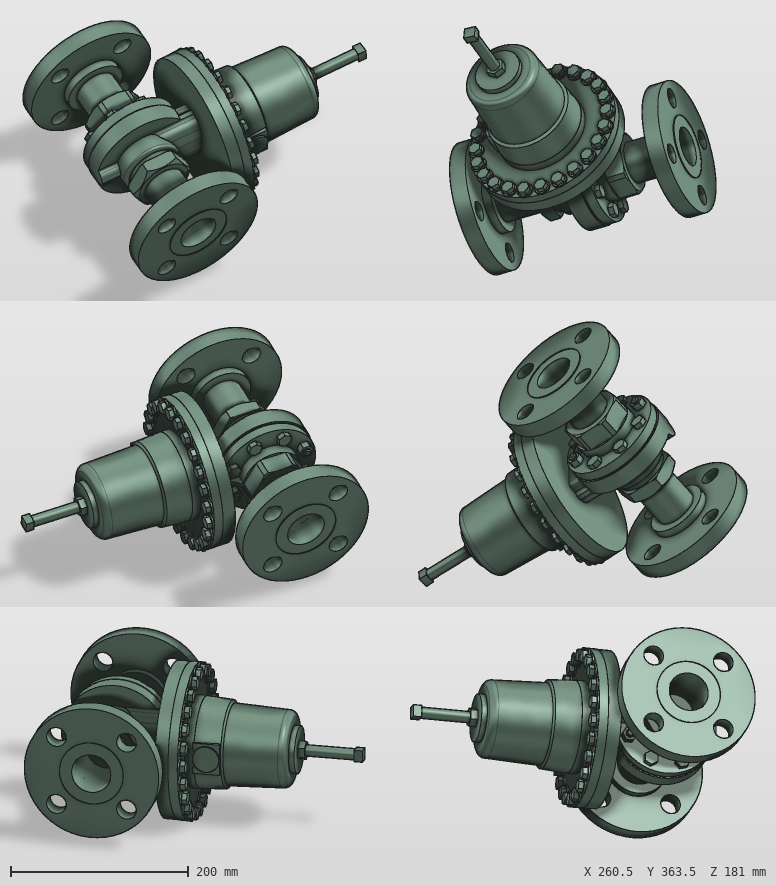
import cadquery as cq
import math


inlet_face = -137.0
outlet_face = 123.5
inlet_nut_start, inlet_nut_end = -68.5, -45.5
cover_start, cover_end = -32.7, -20.7
body_flange_start, body_flange_end = -19.5, 0.7
barrel_end = 22.0
outlet_nut_start, outlet_nut_end = 29.0, 46.0

flange_radius = 77.5
flange_thickness = 19.5
raised_face_radius, raised_face_height = 36.5, 1.0
collar_radius, collar_length = 35.0, 9.8
pipe_radius, bore_radius = 24.0, 22.5
flange_hole_radius, flange_hole_offset = 11.3, 40.3

barrel_radius, barrel_fillet = 35.5, 4.0
cover_radius = 58.5
body_flange_radius = 59.5
gasket_radius = 57.5
outlet_neck_radius = 30.0
nut_across_flats = 64.5
inlet_nut_corner_cut = 35.5
inlet_nut_chamfer = 2.0
outlet_nut_chamfer_length, outlet_nut_chamfer_depth = 4.7, 5.8
outlet_nut_back_length, outlet_nut_back_depth = 1.0, 2.0

neck_inlet_side, neck_outlet_side = -20.7, 18.0
neck_half_width, neck_step_half_width = 34.5, 31.0
lug_half_width, lug_tip = 12.0, 11.5
flare_end = 4.5

gusset_thickness, gusset_height = 5.5, 15.5

cover_bolt_count, cover_bolt_circle = 8, 47.2
cover_nut_places = (3, 7)
cover_hex_radius = 8.5
cover_head_height, cover_nut_height = 6.5, 8.7
stud_radius, stud_height, stud_chamfer = 4.7, 12.0, 1.5

case_bottom, case_top = 65.5, 91.5
case_split, case_lower_radius = 80.5, 89.5
case_upper_radius = 89.7
case_bolt_count, case_bolt_circle = 24, 81.5
washer_radius, washer_height = 9.0, 2.0
case_hex_radius, case_bolt_top = 7.5, 99.5
foot_radius, foot_top = 52.5, 101.7
skirt_base_radius, skirt_top_radius, skirt_top = 52.3, 50.5, 132.2
dome_base, dome_base_radius = 134.5, 47.0
shoulder_height, shoulder_radius = 196.5, 44.3
dome_top, crown_radius = 205.2, 37.5
cap_radius, cap_top = 27.2, 211.7
lock_nut_across_flats, lock_nut_top = 19.0, 219.7
rod_radius, rod_top = 6.5, 276.0
head_side, head_top, head_twist = 13.5, 286.0, 5.0
port_pad_width, port_pad_height, port_pad_face = 36.3, 31.2, 51.5
port_radius, port_center, port_face = 15.3, 116.0, 53.8

overlap = 1.8


def hex_diameter(across_flats):
    return across_flats / math.cos(math.pi / 6)


def hex_section(plane, across_corners, corner_angle):
    """Hexagon centred on the plane's origin with a corner at the given angle."""
    points = []
    for corner in range(6):
        angle = math.radians(corner_angle + 60 * corner)
        points.append((across_corners / 2 * math.cos(angle), across_corners / 2 * math.sin(angle)))
    return plane.polyline(points).close()


def plane_across_pipe(x, y=0, z=0):
    return cq.Workplane("YZ", origin=(x, y, z))


def plane_across_actuator(y, x=0, z=0):
    """Plane facing +Y, with local axes Z and X."""
    return cq.Workplane("ZX", origin=(x, y, z))


def disc_on_pipe(start, end, radius):
    return plane_across_pipe(start).circle(radius).extrude(end - start)


def turned_about_x(profile):
    return cq.Workplane("XY").polyline(profile).close().revolve(360, (0, 0, 0), (1, 0, 0))


def pipe_end(face, inward, pipe_end_x):
    """Raised-face flange, collar and pipe; inward is +1 or -1 along X."""
    flange_front = face + inward * raised_face_height
    flange_back = flange_front + inward * flange_thickness
    collar_back = flange_back + inward * collar_length
    holes = (
        plane_across_pipe(flange_front)
        .rect(2 * flange_hole_offset, 2 * flange_hole_offset, forConstruction=True)
        .vertices()
        .circle(flange_hole_radius)
        .extrude(flange_back - flange_front)
    )
    return (
        disc_on_pipe(flange_front, flange_back, flange_radius)
        .cut(holes)
        .union(disc_on_pipe(face, flange_front, raised_face_radius))
        .union(disc_on_pipe(flange_back, collar_back, collar_radius))
        .union(disc_on_pipe(collar_back, pipe_end_x, pipe_radius))
    )


def inlet_nut():
    """Hexagon with its corners trimmed flat and its outer end chamfered."""
    length = inlet_nut_end - inlet_nut_start
    nut = hex_section(plane_across_pipe(inlet_nut_start), hex_diameter(nut_across_flats), 0)
    trim = hex_section(plane_across_pipe(inlet_nut_start), hex_diameter(2 * inlet_nut_corner_cut), 30)
    nut = nut.extrude(length).intersect(trim.extrude(length))
    envelope = disc_on_pipe(inlet_nut_start, inlet_nut_end, hex_diameter(nut_across_flats) / 2)
    return nut.intersect(envelope.faces("<X").chamfer(inlet_nut_chamfer, 2 * inlet_nut_chamfer))


def outlet_nut():
    """Hexagon turned to a cone at each end."""
    corner_radius = hex_diameter(nut_across_flats) / 2
    nut = hex_section(plane_across_pipe(outlet_nut_start), 2 * corner_radius, 0)
    nut = nut.extrude(outlet_nut_end - outlet_nut_start)
    envelope = turned_about_x([
        (outlet_nut_start, 0),
        (outlet_nut_start, corner_radius - outlet_nut_back_depth),
        (outlet_nut_start + outlet_nut_back_length, corner_radius),
        (outlet_nut_end - outlet_nut_chamfer_length, corner_radius),
        (outlet_nut_end, corner_radius - outlet_nut_chamfer_depth),
        (outlet_nut_end, 0),
    ])
    return nut.intersect(envelope)


def valve_body():
    barrel = disc_on_pipe(inlet_nut_end, barrel_end, barrel_radius).faces(">X").edges().fillet(barrel_fillet)
    return (
        barrel
        .union(disc_on_pipe(cover_start, cover_end, cover_radius))
        .union(disc_on_pipe(cover_end, body_flange_start, gasket_radius))
        .union(disc_on_pipe(body_flange_start, body_flange_end, body_flange_radius))
        .union(disc_on_pipe(barrel_end - barrel_fillet, outlet_nut_start, outlet_neck_radius))
    )


def half_section_prism(outline, bottom, top):
    """Prism along Y; outline is a closed XZ half section lying on z = 0."""
    half = outline.close().extrude(-(top - bottom)).translate((0, bottom, 0))
    return half.union(half.mirror("XY"))


def actuator_neck():
    """Ribbed column that joins the valve body to the actuator case."""
    outline = (
        cq.Workplane("XZ")
        .moveTo(neck_inlet_side, 0)
        .lineTo(neck_inlet_side, 24.0)
        .threePointArc((-19.0, 28.7), (-14.0, neck_step_half_width))
        .lineTo(-8.7, neck_step_half_width)
        .lineTo(-5.0, neck_half_width)
        .lineTo(body_flange_end, neck_half_width)
        .threePointArc((2.0, 33.0), (flare_end, 31.5))
        .threePointArc((10.5, 28.7), (14.5, 22.5))
        .threePointArc((17.0, 16.5), (neck_outlet_side, 10.0))
        .lineTo(neck_outlet_side, 0)
    )
    return half_section_prism(outline, 0, case_bottom)


def drain_lug():
    """Rounded lug on the -Y side, flush with the body flange rim."""
    outline = (
        cq.Workplane("XZ")
        .moveTo(body_flange_end - overlap, 0)
        .lineTo(body_flange_end - overlap, lug_half_width)
        .lineTo(body_flange_end, lug_half_width)
        .threePointArc((1.8, 10.5), (flare_end, 9.0))
        .threePointArc((9.5, 5.0), (lug_tip, 0))
    )
    lug = half_section_prism(outline, -body_flange_radius, 0)
    return lug.intersect(disc_on_pipe(body_flange_start, barrel_end, body_flange_radius))


def cover_gusset():
    """Small triangular rib between the barrel and the cover on the +Y side."""
    return (
        cq.Workplane("XY")
        .moveTo(inlet_nut_end, barrel_radius - overlap)
        .lineTo(inlet_nut_end, barrel_radius)
        .lineTo(cover_start, barrel_radius + gusset_height)
        .lineTo(cover_start, barrel_radius - overlap)
        .close()
        .extrude(gusset_thickness / 2, both=True)
    )


def cover_fasteners():
    """Bolt heads around the cover, with a nut and stud in two of the places."""
    step = 360 / cover_bolt_count
    fasteners = cq.Workplane("YZ")
    for place in range(cover_bolt_count):
        angle = step * (place + 0.5)
        y = cover_bolt_circle * math.cos(math.radians(angle))
        z = cover_bolt_circle * math.sin(math.radians(angle))
        plane = plane_across_pipe(cover_start, y, z)
        if place in cover_nut_places:
            fastener = hex_section(plane, 2 * cover_hex_radius, 0).extrude(-cover_nut_height)
            stud = plane.circle(stud_radius).extrude(-stud_height).faces("<X").chamfer(stud_chamfer)
            fastener = fastener.union(stud)
        else:
            fastener = hex_section(plane, 2 * cover_hex_radius, angle - step / 2).extrude(-cover_head_height)
        fasteners = fasteners.add(fastener)
    return fasteners.combine()


def actuator_case():
    """Two-part round case with a ring of washers and hexagon heads, flats facing out."""
    lower_case = plane_across_actuator(case_bottom).circle(case_lower_radius)
    upper_case = plane_across_actuator(case_split).circle(case_upper_radius)
    case = lower_case.extrude(case_split - case_bottom).union(upper_case.extrude(case_top - case_split))
    for place in range(case_bolt_count):
        angle = 360 * place / case_bolt_count
        z = case_bolt_circle * math.cos(math.radians(angle))
        x = case_bolt_circle * math.sin(math.radians(angle))
        plane = plane_across_actuator(case_top, x, z)
        case = case.union(plane.circle(washer_radius).extrude(washer_height))
        bolt = hex_section(plane, 2 * case_hex_radius, angle + 30).extrude(case_bolt_top - case_top)
        case = case.union(bolt)
    return case


def bonnet():
    """Spring bonnet: foot, tapered skirt and dome, rounded crown and flat cap."""
    crown_mid = 1 / math.sqrt(2)
    return (
        cq.Workplane("XY")
        .moveTo(0, case_top)
        .lineTo(foot_radius, case_top)
        .lineTo(foot_radius, foot_top)
        .lineTo(skirt_base_radius, foot_top)
        .lineTo(skirt_top_radius, skirt_top)
        .lineTo(dome_base_radius, dome_base)
        .lineTo(shoulder_radius, shoulder_height)
        .threePointArc(
            (
                crown_radius + (shoulder_radius - crown_radius) * crown_mid,
                shoulder_height + (dome_top - shoulder_height) * crown_mid,
            ),
            (crown_radius, dome_top),
        )
        .lineTo(cap_radius, dome_top)
        .lineTo(cap_radius, cap_top)
        .lineTo(0, cap_top)
        .close()
        .revolve(360, (0, 0, 0), (0, 1, 0))
    )


def port_boss():
    """Flat pad on the +X side of the skirt with a round face standing on it."""
    plane = plane_across_pipe(0, port_center)
    pad = plane.rect(port_pad_height, port_pad_width).extrude(port_pad_face)
    return pad.union(plane.circle(port_radius).extrude(port_face))


def adjusting_screw():
    lock_nut = hex_section(plane_across_actuator(cap_top), hex_diameter(lock_nut_across_flats), 0)
    rod = plane_across_actuator(cap_top).circle(rod_radius).extrude(rod_top - cap_top)
    head = plane_across_actuator(rod_top).rect(head_side, head_side).extrude(head_top - rod_top)
    head = head.rotate((0, 0, 0), (0, 1, 0), -head_twist)
    return lock_nut.extrude(lock_nut_top - cap_top).union(rod).union(head)


valve = (
    valve_body()
    .union(inlet_nut())
    .union(outlet_nut())
    .union(pipe_end(inlet_face, 1, inlet_nut_end))
    .union(pipe_end(outlet_face, -1, outlet_nut_start))
    .union(actuator_neck())
    .union(drain_lug())
    .union(cover_gusset())
    .union(cover_fasteners())
    .cut(disc_on_pipe(inlet_face, inlet_nut_start, bore_radius))
    .cut(disc_on_pipe(outlet_nut_end, outlet_face, bore_radius))
)
actuator = actuator_case().union(bonnet()).union(port_boss()).union(adjusting_screw())
result = valve.union(actuator)